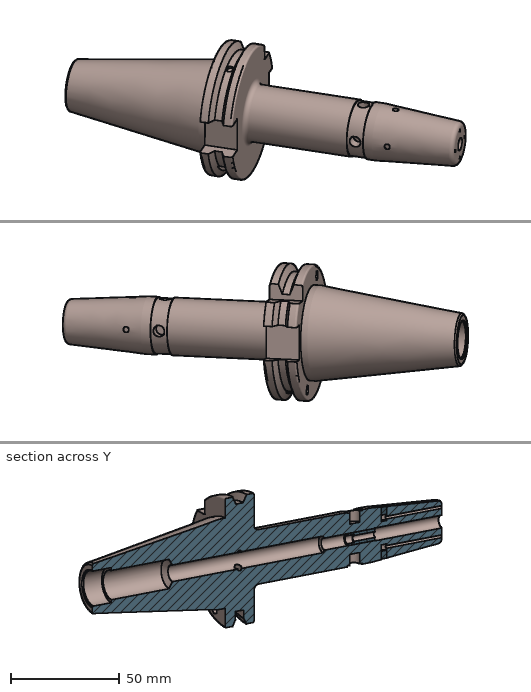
import cadquery as cq
import math


total_length = 188.4
taper_length = 68.4
taper_small_radius = 12.2
taper_large_radius = 22.2
taper_end_chamfer = 0.8
flange_start = 71.5
flange_end = 87.5
flange_radius = 63.5 / 2
flange_rounding = 1.0

groove_center = 79.5
groove_floor_radius = 28.0
groove_floor_width = 3.5
groove_mouth_width = 7.3

slot_width = 16.2
slot_depth_front = 22.8
slot_depth_back = 25.0
notch_offset = 18.5
groove_flat_distance = 24.0
groove_flat_width = 4.1
groove_flat_tilt = 14.5

neck_radius = 27.0 / 2
neck_fillet = 2.5
recess_start = 137.5
recess_end = 145.5
recess_radius = 13.0
nose_taper_start = 150.0
nose_end_radius = 21.0 / 2
nose_rounding = 2.3

counterbore_radius = 8.5
counterbore_depth = 10.4
counterbore_chamfer = 0.5
thread_radius = 14.1 / 2
thread_end = 41.5
duct_radius = 4.0
duct_end = 124.3
screw_bore_radius = 2.8
tool_bore_radius = 3.0
tool_bore_depth = 36.0
drill_point_angle = 118.0

radial_hole_count = 4
balance_hole_x = 141.5
balance_hole_radius = 2.6
balance_hole_bottom = 7.5
plug_hole_x = 157.1
plug_radius = 1.3
plug_outer_end = 12.8
plug_length = 4.1
jet_hole_radius = 0.5
jet_circle_radius = 7.2

channel_count = 2
channel_radius = 1.9
channel_circle_radius = 27.0
channel_slope = 27.0
channel_turn = 20.0
groove_plug_radius = 1.7
groove_plug_outer_end = 26.8
groove_plug_length = 1.5

screw_length = 15.0
screw_hole_radius = 1.3
screw_socket_radius = 1.9
screw_socket_depth = 3.8


def revolve_about_x(profile):
    return profile.close().revolve(360, (0, 0, 0), (1, 0, 0))


def cone_length(large_radius, small_radius):
    """Axial length of a drill-point cone between two radii."""
    return (large_radius - small_radius) / math.tan(math.radians(drill_point_angle / 2))


def x_cylinder(radius, start, end):
    return cq.Workplane("YZ", origin=(start, 0, 0)).circle(radius).extrude(end - start)


def radial_cylinder(radius, x, inner, outer, turn):
    """Cylinder pointing away from the axis, turned about X from the +Z direction."""
    upright = cq.Workplane("XY", origin=(x, 0, inner)).circle(radius).extrude(outer - inner)
    return upright.rotate((0, 0, 0), (1, 0, 0), turn)


def even_turns(count, first=0.0):
    return [first + 360.0 * i / count for i in range(count)]


def taper_and_neck():
    slope = (taper_large_radius - taper_small_radius) / taper_length
    profile = (
        cq.Workplane("XY")
        .lineTo(0, taper_small_radius - taper_end_chamfer)
        .lineTo(taper_end_chamfer, taper_small_radius + slope * taper_end_chamfer)
        .lineTo(taper_length, taper_large_radius)
        .lineTo(flange_end, taper_large_radius)
        .lineTo(flange_end, neck_radius + neck_fillet)
        .radiusArc((flange_end + neck_fillet, neck_radius), -neck_fillet)
        .lineTo(recess_start, neck_radius)
        .lineTo(recess_start, recess_radius)
        .lineTo(recess_end, recess_radius)
        .lineTo(recess_end, neck_radius)
        .lineTo(nose_taper_start, neck_radius)
        .lineTo(total_length, nose_end_radius)
        .lineTo(total_length, 0)
    )
    return revolve_about_x(profile).faces(">X").edges().fillet(nose_rounding)


def flange():
    disc = x_cylinder(flange_radius, flange_start, flange_end).edges().fillet(flange_rounding)
    half_floor = groove_floor_width / 2
    half_mouth = groove_mouth_width / 2
    groove = (
        cq.Workplane("XY")
        .moveTo(groove_center - half_floor, groove_floor_radius)
        .lineTo(groove_center - half_mouth, flange_radius)
        .lineTo(groove_center + half_mouth, flange_radius)
        .lineTo(groove_center + half_floor, groove_floor_radius)
    )
    return disc.cut(revolve_about_x(groove))


def flange_cutouts():
    """Two drive slots, the corner notch and the flat milled into the groove floor."""
    width = flange_end - flange_start
    side = flange_radius
    plane = cq.Workplane("YZ", origin=(flange_start, 0, 0))
    front_slot = plane.center(-slot_depth_front - side / 2, 0).rect(side, slot_width).extrude(width)
    back_slot = plane.center(slot_depth_back + side / 2, 0).rect(side, slot_width).extrude(width)
    notch_center = notch_offset + side / 2
    notch = plane.center(notch_center, notch_center).rect(side, side).extrude(width)
    flat_depth = flange_radius - groove_flat_distance
    flat = (
        cq.Workplane("XY", origin=(groove_center, 0, -groove_flat_distance))
        .rect(groove_flat_width, 2 * flange_radius)
        .extrude(-flat_depth)
        .rotate((0, 0, 0), (1, 0, 0), -groove_flat_tilt)
    )
    return [front_slot, back_slot, notch, flat]


def axial_bore():
    tool_bore_start = total_length - tool_bore_depth
    profile = (
        cq.Workplane("XY")
        .lineTo(0, counterbore_radius + counterbore_chamfer)
        .lineTo(counterbore_chamfer, counterbore_radius)
        .lineTo(counterbore_depth, counterbore_radius)
        .lineTo(counterbore_depth, thread_radius)
        .lineTo(thread_end, thread_radius)
        .lineTo(thread_end + cone_length(thread_radius, duct_radius), duct_radius)
        .lineTo(duct_end, duct_radius)
        .lineTo(duct_end + cone_length(duct_radius, screw_bore_radius), screw_bore_radius)
        .lineTo(tool_bore_start, screw_bore_radius)
        .lineTo(tool_bore_start, tool_bore_radius)
        .lineTo(total_length, tool_bore_radius)
        .lineTo(total_length, 0)
    )
    return revolve_about_x(profile)


def nose_holes():
    """Balance holes, plug holes and the fine coolant jets that run to the nose face."""
    holes = []
    for turn in even_turns(radial_hole_count):
        holes.append(
            radial_cylinder(balance_hole_radius, balance_hole_x, balance_hole_bottom, neck_radius, turn)
        )
        holes.append(
            radial_cylinder(plug_radius, plug_hole_x, jet_circle_radius - plug_radius, neck_radius, turn)
        )
        jet = x_cylinder(jet_hole_radius, plug_hole_x, total_length)
        holes.append(jet.translate((0, 0, jet_circle_radius)).rotate((0, 0, 0), (1, 0, 0), turn))
    return holes


def coolant_channels():
    """Sloping channels from the flange face, each meeting a plug hole drilled from groove to duct."""
    slope = math.radians(channel_slope)
    run = groove_center - flange_start
    inward = cq.Vector(1, 0, -math.tan(slope))
    start = cq.Vector(flange_start, 0, channel_circle_radius) - inward * run
    channel = cq.Workplane(
        cq.Solid.makeCylinder(channel_radius, 2 * run / math.cos(slope), start, inward)
    )
    channel = channel.intersect(x_cylinder(flange_radius, flange_start, flange_end))
    cutters = []
    for turn in even_turns(channel_count, channel_turn):
        cutters.append(channel.rotate((0, 0, 0), (1, 0, 0), turn))
        cutters.append(radial_cylinder(groove_plug_radius, groove_center, 0, flange_radius, turn))
    return cutters


def make_holder():
    holder = taper_and_neck().union(flange())
    holder = holder.union(x_cylinder(taper_large_radius, taper_length, flange_end))
    for cutter in flange_cutouts() + [axial_bore()] + nose_holes() + coolant_channels():
        holder = holder.cut(cutter)
    return holder


def make_nose_plug(turn):
    return radial_cylinder(
        plug_radius, plug_hole_x, plug_outer_end - plug_length, plug_outer_end, turn
    )


def make_groove_plug(turn):
    return radial_cylinder(
        groove_plug_radius,
        groove_center,
        groove_plug_outer_end - groove_plug_length,
        groove_plug_outer_end,
        turn,
    )


def make_stop_screw():
    screw_end = total_length - tool_bore_depth
    screw_start = screw_end - screw_length
    screw = x_cylinder(screw_bore_radius, screw_start, screw_end)
    socket = x_cylinder(screw_socket_radius, screw_start, screw_start + screw_socket_depth)
    return screw.cut(socket).cut(x_cylinder(screw_hole_radius, screw_start, screw_end))


holder = make_holder()
nose_plugs = [make_nose_plug(turn) for turn in even_turns(radial_hole_count)]
groove_plugs = [make_groove_plug(turn) for turn in even_turns(channel_count, channel_turn)]
stop_screw = make_stop_screw()

result = cq.Compound.makeCompound(
    [holder.val(), stop_screw.val()] + [plug.val() for plug in nose_plugs + groove_plugs]
)